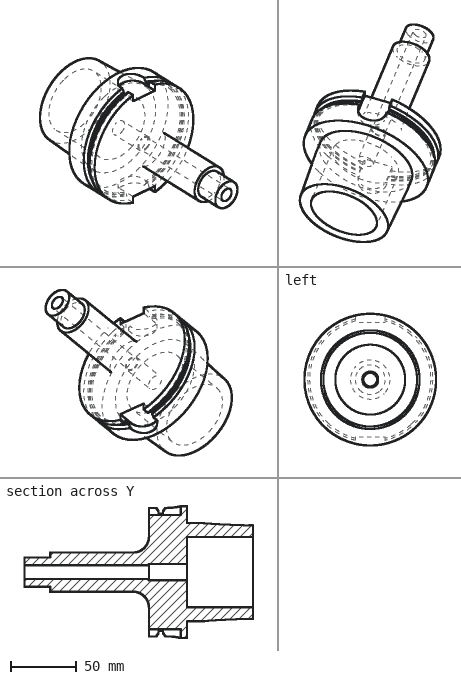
import cadquery as cq

total_length = 173.3
taper_end = 40.0
flange_start = 49.9
flange_end = 79.0
shank_end = 153.7

flange_diameter = 100.0
taper_tip_radius = 35.5
pilot_radius = 37.5
flange_radius = flange_diameter / 2
shank_radius = 14.9
nose_radius = 11.3
neck_fillet = 12.0

groove_start = 66.5
groove_end = 73.3
groove_radius = 46.0
groove_bevel_length = 1.7
groove_bevel_depth = 2.6

socket_radius = 26.5
socket_depth = flange_start
entry_hole_radius = 6.0
entry_hole_end = flange_end
through_hole_radius = 5.2

keyway_start = 55.0
keyway_width = 22.0
keyway_corner_radius = 10.4
keyway_floor = 43.3


def make_body():
    """Revolve the outer half profile about the X axis."""
    bevel_radius = flange_radius - groove_bevel_depth
    fillet_top = shank_radius + neck_fillet
    profile = (
        cq.Workplane("XY")
        .lineTo(0, taper_tip_radius)
        .lineTo(taper_end, pilot_radius)
        .lineTo(flange_start, pilot_radius)
        .lineTo(flange_start, flange_radius)
        .lineTo(groove_start, flange_radius)
        .lineTo(groove_start + groove_bevel_length, bevel_radius)
        .lineTo(groove_start + groove_bevel_length, groove_radius)
        .lineTo(groove_end - groove_bevel_length, groove_radius)
        .lineTo(groove_end - groove_bevel_length, bevel_radius)
        .lineTo(groove_end, flange_radius)
        .lineTo(flange_end, flange_radius)
        .lineTo(flange_end, fillet_top)
        .radiusArc((flange_end + neck_fillet, shank_radius), -neck_fillet)
        .lineTo(shank_end, shank_radius)
        .lineTo(shank_end, nose_radius)
        .lineTo(total_length, nose_radius)
        .lineTo(total_length, 0)
        .close()
    )
    return profile.revolve(360, (0, 0, 0), (1, 0, 0))


def bore(radius, depth):
    """Round cutter along X, from the open end of the taper."""
    return cq.Workplane("YZ").circle(radius).extrude(depth)


def keyway():
    """Cutter above the keyway floor: rounded inner end, open at the shank side."""
    length = flange_end - keyway_start
    return (
        cq.Workplane("XY", origin=(keyway_start, 0, keyway_floor))
        .rect(2 * length, keyway_width)
        .extrude(flange_radius - keyway_floor)
        .translate((length, 0, 0))
        .edges("|Z and <X")
        .fillet(keyway_corner_radius)
    )


result = make_body()
for radius, depth in (
    (socket_radius, socket_depth),
    (entry_hole_radius, entry_hole_end),
    (through_hole_radius, total_length),
):
    result = result.cut(bore(radius, depth))

top_keyway = keyway()
result = result.cut(top_keyway).cut(top_keyway.mirror("XY"))